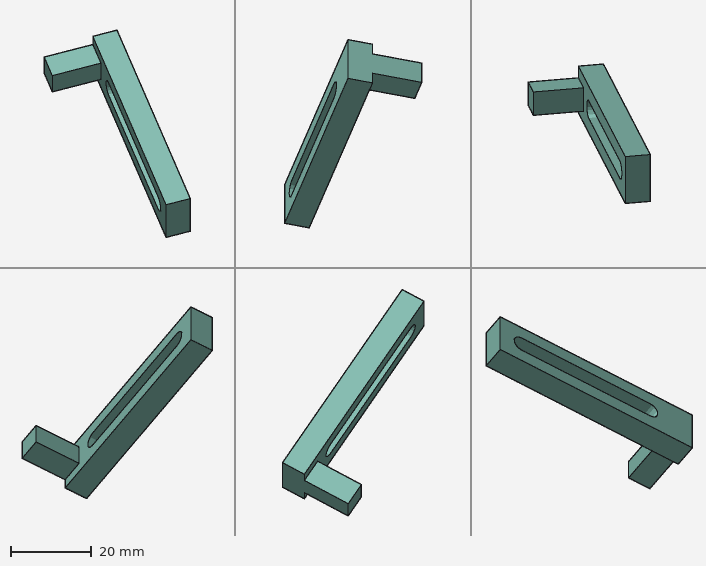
import cadquery as cq

bar_length = 57.15
bar_height = 12.7
bar_thickness = 6.35

peg_side = bar_thickness
peg_length = 12.7

slot_start = 10.35
slot_end = 53.0
slot_width = 4.7
slot_length = slot_end - slot_start
slot_center_x = (slot_start + slot_end) / 2

bar = cq.Workplane("XY").box(
    bar_length, bar_thickness, bar_height, centered=(False, False, True)
)

peg = (
    cq.Workplane("XY")
    .box(peg_side, peg_length, peg_side, centered=(False, False, True))
    .translate((0, -peg_length, 0))
)

slot = (
    cq.Workplane("XZ")
    .center(slot_center_x, 0)
    .slot2D(slot_length, slot_width)
    .extrude(-bar_thickness)
)

result = bar.union(peg).cut(slot)